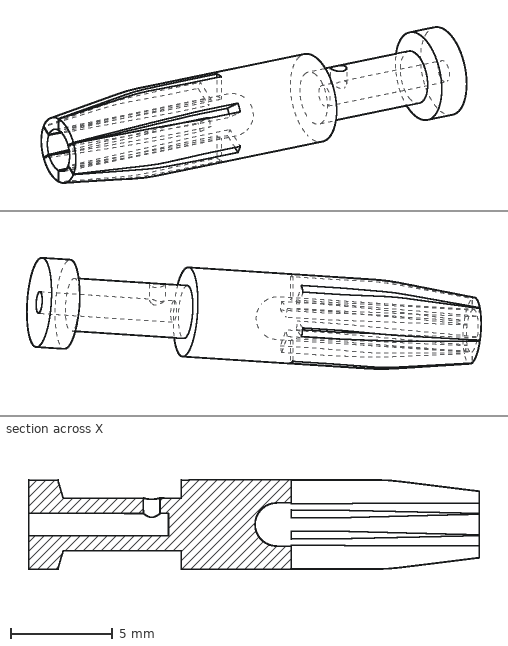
import cadquery as cq

length = 22.2
body_radius = 2.21

tip_radius = 1.65
cone_length = 3.9
cone_base_radius = 2.13
blend_length = 1.2
body_length = 14.7

neck_radius = 1.3
head_thickness = 1.45
head_cone_length = 0.27

bore_radius = 1.055
bore_straight_depth = 10.0

slot_count = 3
slot_depth = 9.25
slot_taper_length = 7.17
slot_width = 0.45
slot_tip_width = 0.05

wire_bore_radius = 0.53
wire_bore_depth = 6.88

vent_radius = 0.4
vent_y = 16.15


def revolve_about_y(profile):
    return profile.close().revolve(360, (0, 0, 0), (0, 1, 0))


def make_pin():
    head_start = length - head_thickness
    blend_end = cone_length + blend_length
    profile = (
        cq.Workplane("XY")
        .lineTo(0, length)
        .lineTo(body_radius, length)
        .lineTo(body_radius, head_start)
        .lineTo(neck_radius, head_start - head_cone_length)
        .lineTo(neck_radius, body_length)
        .lineTo(body_radius, body_length)
        .lineTo(body_radius, blend_end)
        .tangentArcPoint((cone_base_radius, cone_length), relative=False)
        .lineTo(tip_radius, 0)
    )
    return revolve_about_y(profile)


def make_bore():
    cylinder = cq.Workplane("XZ").circle(bore_radius).extrude(-bore_straight_depth)
    floor = cq.Workplane("XY").sphere(bore_radius).translate((0, bore_straight_depth, 0))
    return cylinder.union(floor)


def make_slot(angle):
    half_width = slot_width / 2
    half_tip = slot_tip_width / 2
    slot = (
        cq.Workplane("XY")
        .polyline([
            (-half_tip, 0),
            (-half_width, slot_taper_length),
            (-half_width, slot_depth),
            (half_width, slot_depth),
            (half_width, slot_taper_length),
            (half_tip, 0),
        ])
        .close()
        .extrude(2 * body_radius, both=True)
    )
    return slot.rotate((0, 0, 0), (0, 1, 0), angle)


def make_wire_bore():
    rear_face = cq.Workplane("XZ", origin=(0, length, 0))
    return rear_face.circle(wire_bore_radius).extrude(wire_bore_depth)


def make_vent():
    return cq.Workplane("XY").center(0, vent_y).circle(vent_radius).extrude(body_radius)


result = make_pin().cut(make_bore()).cut(make_wire_bore()).cut(make_vent())
for index in range(slot_count):
    result = result.cut(make_slot(index * 180 / slot_count))